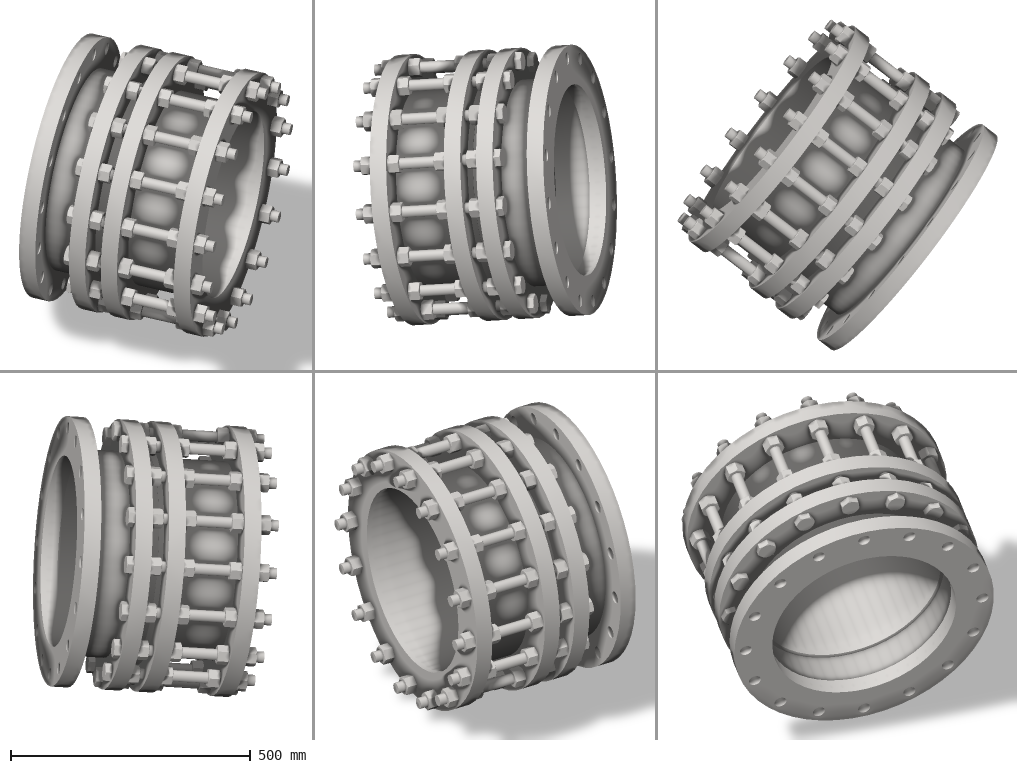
import cadquery as cq
import math


flange_diameter = 565.0
flange_thickness = 35.5
body_flange_x = 109.5
gland_x = 179.5
end_flange_x = 340.0

bore_diameter = 400.0
spigot_diameter = 416.0
body_diameter = 432.0
spigot_start_x = 111.0
spigot_end_x = end_flange_x + flange_thickness
body_end_x = 170.5

seal_small_diameter = 434.5

stud_count = 16
stud_circle_diameter = 515.0
stud_diameter = 24.0
stud_hole_diameter = 26.0
stud_end_x = 415.0

hex_across_flats = 36.0
hex_across_corners = hex_across_flats / math.cos(math.radians(30))
hex_twist = 7.5
head_height = 14.0
nut_height = 24.5
end_nut_height = 22.5
corner_chamfer_length = 1.5
corner_chamfer_depth = 3.0


def cylinder(diameter, start_x, end_x):
    """Solid cylinder on the X axis."""
    return cq.Workplane("YZ", origin=(start_x, 0, 0)).circle(diameter / 2).extrude(end_x - start_x)


def turned(outline):
    """Solid of revolution about the X axis from (x, radius) points."""
    return cq.Workplane("XY").polyline(outline).close().revolve(360, (0, 0, 0), (1, 0, 0))


def flange(start_x):
    """Flange disc; its bore is cut later."""
    return cylinder(flange_diameter, start_x, start_x + flange_thickness)


def seal():
    """45 degree tapered ring widening from the body tube end to the gland face."""
    small_radius = seal_small_diameter / 2
    large_radius = small_radius + gland_x - body_end_x
    outline = [(body_end_x, 0), (body_end_x, small_radius), (gland_x, large_radius), (gland_x, 0)]
    return turned(outline)


def hexagon(start_x, height, chamfer_start=True, chamfer_end=True):
    """Hexagonal prism on the X axis whose corners are turned off at the chosen ends."""
    end_x = start_x + height
    full_radius = hex_across_corners / 2
    turned_radius = full_radius - corner_chamfer_depth
    outline = [(start_x, 0)]
    if chamfer_start:
        outline += [(start_x, turned_radius), (start_x + corner_chamfer_length, full_radius)]
    else:
        outline += [(start_x, full_radius)]
    if chamfer_end:
        outline += [(end_x - corner_chamfer_length, full_radius), (end_x, turned_radius)]
    else:
        outline += [(end_x, full_radius)]
    outline += [(end_x, 0)]
    envelope = turned(outline)
    prism = cq.Workplane("YZ", origin=(start_x, 0, 0)).polygon(6, hex_across_corners).extrude(height)
    prism = prism.rotate((0, 0, 0), (1, 0, 0), -hex_twist)
    return prism.intersect(envelope)


def stud():
    """Headed stud with its four nuts, on the X axis."""
    head_x = body_flange_x - head_height
    fastener = cylinder(stud_diameter, head_x, stud_end_x)
    fastener = fastener.union(hexagon(head_x, head_height, chamfer_end=False))
    after_body_flange = body_flange_x + flange_thickness
    after_gland = gland_x + flange_thickness
    before_end_flange = end_flange_x - nut_height
    for nut_x in (after_body_flange, after_gland, before_end_flange):
        fastener = fastener.union(hexagon(nut_x, nut_height))
    return fastener.union(hexagon(spigot_end_x, end_nut_height, chamfer_start=False))


def around_stud_circle(shape):
    """List of copies of an on-axis shape, spread around the stud circle."""
    first = shape.translate((0, stud_circle_diameter / 2, 0))
    step = 360 / stud_count
    return [first.rotate((0, 0, 0), (1, 0, 0), index * step) for index in range(stud_count)]


body = flange(0).union(cylinder(body_diameter, 0, body_end_x)).union(flange(body_flange_x))
for hole in around_stud_circle(cylinder(stud_hole_diameter, 0, flange_thickness)):
    body = body.cut(hole)

spigot = cylinder(spigot_diameter, body_end_x, spigot_end_x).union(flange(end_flange_x))
result = body.union(seal()).union(flange(gland_x)).union(spigot)

result = result.cut(cylinder(bore_diameter, 0, spigot_end_x))
result = result.cut(cylinder(spigot_diameter, flange_thickness, spigot_start_x))

for fastener in around_stud_circle(stud()):
    result = result.union(fastener)